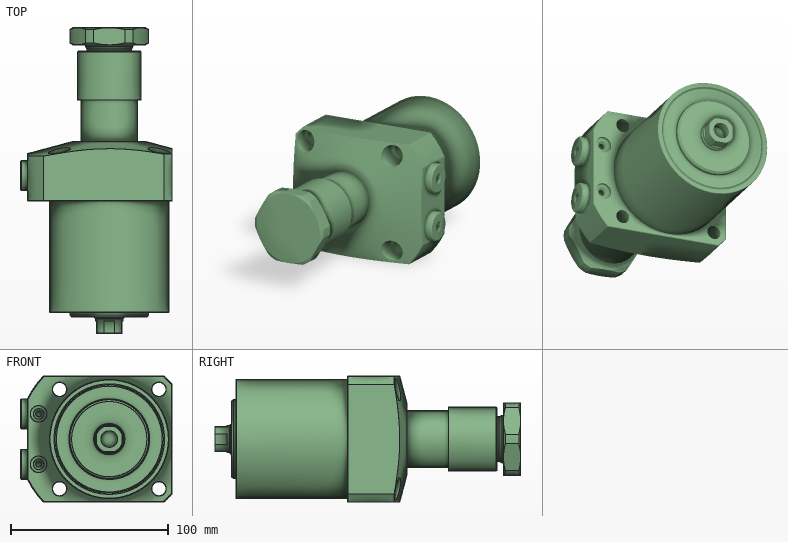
import cadquery as cq
import math


flange_half = 40.0
port_face_x = -51.8
flange_round_r = 57.8
corner_chamfer = 5.2
front_edge_chamfer = 0.4
dome_y = 37.8
dome_flat_r = 22.9
dome_slope = 15.0
dome_fillet = 5.8
hole_spacing = 63.0
hole_offset = hole_spacing / 2
hole_r = 4.5
counterbore_r = 7.0
counterbore_seat_y = 21.3

barrel_r = 37.8
barrel_length = 70.6
barrel_edge_chamfer = 0.3
cap_r = 34.3
cap_thickness = 9.7
cap_inner_y = -barrel_length + cap_thickness
rim_chamfer = 0.8
boss_r = 25.0
boss_height = 3.0
boss_chamfer_height = 1.4
boss_chamfer_width = 1.2
step_groove = 0.5
lip_r = 9.3
lip_height = 1.2
lip_chamfer_start = 0.5

rod_r = 18.0
sleeve_r = 40.5 / 2
sleeve_start_y = 64.2
sleeve_end_y = 95.0
sleeve_chamfer = 0.5
tail_r = 17.3 / 2
square_half = 8.0
square_length = 7.8
tail_end_y = -84.0
tail_hole_r = 5.2
tail_hole_depth = 7.8

overall_length = 194.0
bolt_end_y = tail_end_y + overall_length
hex_height = 10.9
hex_half = 46.0 / 2
hex_round_r = 25.0
hex_chamfer_height = 1.2
neck_r = 30.0 / 2
neck_tip_r = 28.5 / 2
neck_rim = 1.0
neck_taper = 1.7

port_spacing = 32.0
port_offset = port_spacing / 2
plug_y = 16.1
plug_r = 9.5
plug_height = 4.7
plug_chamfer = 0.8
plug_socket_width = 6.2
plug_socket_depth = 3.0
screw_x = -44.8
screw_r = 5.2
screw_recess = 1.7
screw_length = 7.8
screw_cone_r = 3.3
screw_hole_r = 1.85
screw_cone_depth = 1.4
screw_hole_depth = 3.9


def revolved(points):
    """Turn a closed (radius, y) outline about the Y axis."""
    return cq.Workplane("XY").polyline(points).close().revolve(360, (0, 0, 0), (0, 1, 0))


def cylinder(radius, start_y, end_y, x=0, z=0):
    """Round bar along Y from start_y to end_y."""
    base = cq.Workplane("XZ", origin=(x, start_y, z))
    return base.circle(radius).extrude(start_y - end_y)


def make_flange():
    """Flange plate with rounded corners, corner chamfers and a conical back."""
    round_end_x = -math.sqrt(flange_round_r**2 - flange_half**2)
    round_end_z = math.sqrt(flange_round_r**2 - port_face_x**2)
    mid_angle = (math.atan2(flange_half, round_end_x) + math.atan2(round_end_z, port_face_x)) / 2
    mid_x = flange_round_r * math.cos(mid_angle)
    mid_z = flange_round_r * math.sin(mid_angle)
    chamfer_start = flange_half - corner_chamfer
    plate = (
        cq.Workplane("XZ")
        .moveTo(round_end_x, flange_half)
        .lineTo(chamfer_start, flange_half)
        .lineTo(flange_half, chamfer_start)
        .lineTo(flange_half, -chamfer_start)
        .lineTo(chamfer_start, -flange_half)
        .lineTo(round_end_x, -flange_half)
        .threePointArc((mid_x, -mid_z), (port_face_x, -round_end_z))
        .lineTo(port_face_x, round_end_z)
        .threePointArc((mid_x, mid_z), (round_end_x, flange_half))
        .close()
        .extrude(-dome_y)
        .faces("<Y").edges().chamfer(front_edge_chamfer)
    )
    dome_r = 2 * flange_half
    dome_edge_y = dome_y - (dome_r - dome_flat_r) * math.tan(math.radians(dome_slope))
    dome = revolved([(0, 0), (dome_r, 0), (dome_r, dome_edge_y), (dome_flat_r, dome_y), (0, dome_y)])
    dome = dome.edges(cq.selectors.RadiusNthSelector(0)).fillet(dome_fillet)
    return plate.intersect(dome)


def make_housing():
    """Flange and barrel with the rod bore, cap bore, mounting holes and screw holes."""
    barrel = cylinder(barrel_r, -barrel_length, 0).faces("<Y").edges().chamfer(barrel_edge_chamfer)
    body = make_flange().union(barrel)
    body = body.cut(cylinder(rod_r, cap_inner_y, dome_y))
    body = body.cut(revolved([
        (0, -barrel_length),
        (cap_r + rim_chamfer, -barrel_length),
        (cap_r, -barrel_length + rim_chamfer),
        (cap_r, cap_inner_y),
        (0, cap_inner_y),
    ]))
    for x in (-hole_offset, hole_offset):
        for z in (-hole_offset, hole_offset):
            body = body.cut(cylinder(hole_r, 0, dome_y, x, z))
            body = body.cut(cylinder(counterbore_r, counterbore_seat_y, dome_y, x, z))
    for z in (-port_offset, port_offset):
        body = body.cut(cylinder(screw_r, 0, screw_recess + screw_length, screw_x, z))
    return body


def make_end_cap():
    """Disc in the barrel end with a chamfered boss and a lipped hole for the rod tail."""
    face_y = -barrel_length
    boss_y = face_y - boss_height
    return revolved([
        (tail_r, cap_inner_y),
        (cap_r, cap_inner_y),
        (cap_r, face_y + rim_chamfer),
        (cap_r - rim_chamfer, face_y),
        (boss_r + step_groove, face_y),
        (boss_r, face_y + step_groove),
        (boss_r, boss_y + boss_chamfer_height),
        (boss_r - boss_chamfer_width, boss_y),
        (lip_r + step_groove, boss_y),
        (lip_r, boss_y + step_groove),
        (lip_r, boss_y - lip_chamfer_start),
        (tail_r, boss_y - lip_height),
    ])


def make_piston_rod():
    """Rod with a wider sleeve section behind and a square, drilled tail in front."""
    square_start_y = tail_end_y + square_length
    rod = revolved([
        (0, square_start_y),
        (tail_r, square_start_y),
        (tail_r, cap_inner_y),
        (rod_r, cap_inner_y),
        (rod_r, sleeve_start_y),
        (sleeve_r, sleeve_start_y),
        (sleeve_r, sleeve_end_y - sleeve_chamfer),
        (sleeve_r - sleeve_chamfer, sleeve_end_y),
        (0, sleeve_end_y),
    ])
    square = (
        cq.Workplane("XZ", origin=(0, tail_end_y, 0))
        .rect(2 * square_half, 2 * square_half)
        .extrude(-square_length)
        .intersect(cylinder(tail_r, tail_end_y, square_start_y))
    )
    return rod.union(square).cut(cylinder(tail_hole_r, tail_end_y, tail_end_y + tail_hole_depth))


def make_bolt():
    """Hexagon with turned, chamfered corners on a tapered neck."""
    head_y = bolt_end_y - hex_height
    hexagon = (
        cq.Workplane("XZ", origin=(0, head_y, 0))
        .polygon(6, 2 * hex_half / math.cos(math.pi / 6))
        .extrude(-hex_height)
    )
    turned = revolved([
        (0, head_y),
        (hex_half, head_y),
        (hex_round_r, head_y + hex_chamfer_height),
        (hex_round_r, bolt_end_y - hex_chamfer_height),
        (hex_half, bolt_end_y),
        (0, bolt_end_y),
    ])
    rim_y = head_y - neck_rim
    neck = revolved([
        (0, sleeve_end_y),
        (neck_tip_r, sleeve_end_y),
        (neck_tip_r, rim_y - neck_taper),
        (neck_r, rim_y),
        (neck_r, head_y),
        (0, head_y),
    ])
    return hexagon.intersect(turned).union(neck)


def make_port_plug(z):
    """Round plug head with a hexagon socket, on the port face."""
    socket_diameter = plug_socket_width / math.cos(math.pi / 6)
    return (
        cq.Workplane("YZ", origin=(port_face_x, plug_y, z))
        .circle(plug_r)
        .extrude(-plug_height)
        .faces("<X").edges().chamfer(plug_chamfer)
        .cut(
            cq.Workplane("YZ", origin=(port_face_x - plug_height, plug_y, z))
            .transformed(rotate=(0, 0, 90))
            .polygon(6, socket_diameter)
            .extrude(plug_socket_depth)
        )
    )


def make_bleed_screw(z):
    """Sunk round screw with a countersunk centre hole that ends in a cone."""
    cone_end_y = screw_cone_depth
    hole_end_y = cone_end_y + screw_hole_depth
    screw = revolved([
        (0, hole_end_y + screw_hole_r),
        (screw_hole_r, hole_end_y),
        (screw_hole_r, cone_end_y),
        (screw_cone_r, 0),
        (screw_r, 0),
        (screw_r, screw_length),
        (0, screw_length),
    ])
    return screw.translate((screw_x, screw_recess, z))


housing = make_housing()
end_cap = make_end_cap()
piston_rod = make_piston_rod()
bolt = make_bolt()
port_plugs = [make_port_plug(z) for z in (-port_offset, port_offset)]
bleed_screws = [make_bleed_screw(z) for z in (-port_offset, port_offset)]

result = cq.Compound.makeCompound([
    housing.val(),
    end_cap.val(),
    piston_rod.val(),
    bolt.val(),
    *[plug.val() for plug in port_plugs],
    *[screw.val() for screw in bleed_screws],
])